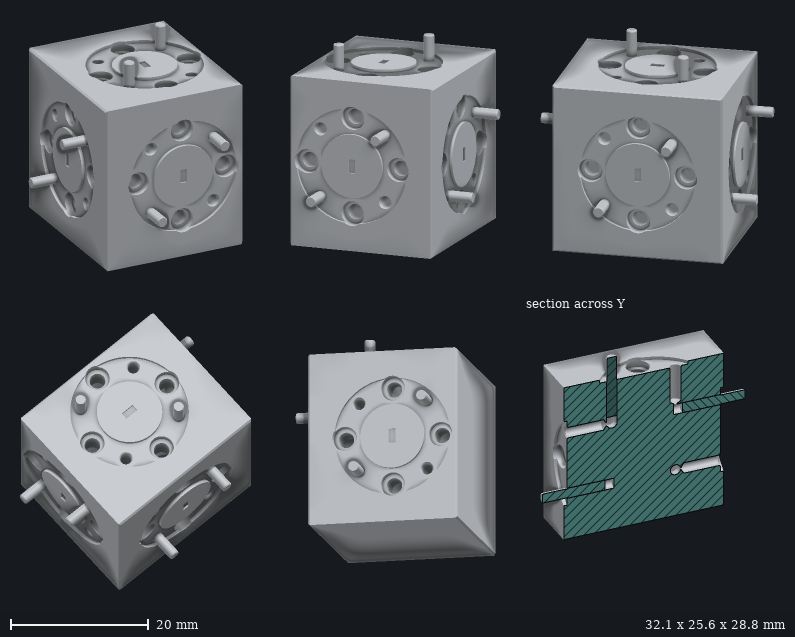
import cadquery as cq
import math

block_width = 25.38
block_height = 25.38
front_depth = 12.55
back_depth = 9.65
block_chamfer = 0.25

recess_radius = 8.6
boss_radius = 4.75
recess_depth = 0.5

mouth_width = 1.03
mouth_height = 2.05
mouth_depth = 0.25

pitch_radius = 7.13
pin_offset = pitch_radius * math.sin(math.radians(45))
drill_tip_angle = 118.0

screw_hole_diameter = 2.28
front_screw_hole_depth = 5.65
side_screw_hole_depth = 5.08
counterbore_diameter = 3.57
counterbore_depth = 1.55

socket_diameter = 1.67
socket_depth = 6.33
socket_chamfer = 0.15

pin_diameter = 1.57
pin_projection = 3.37
pin_embedment = 6.6
pin_tip_length = 0.15
pin_tip_inset = 0.1
pin_hole_depth = 7.97
pin_hole_chamfer = 0.13

screw_points = [(pitch_radius, 0), (0, pitch_radius), (-pitch_radius, 0), (0, -pitch_radius)]
pin_points = [(pin_offset, pin_offset), (-pin_offset, -pin_offset)]
socket_points = [(-pin_offset, pin_offset), (pin_offset, -pin_offset)]

front_plane = cq.Plane(origin=(0, -front_depth, 0), xDir=(1, 0, 0), normal=(0, -1, 0))
left_plane = cq.Plane(origin=(-block_width / 2, 0, 0), xDir=(0, -1, 0), normal=(-1, 0, 0))
right_plane = cq.Plane(origin=(block_width / 2, 0, 0), xDir=(0, 1, 0), normal=(1, 0, 0))
top_plane = cq.Plane(origin=(0, 0, block_height / 2), xDir=(0, 1, 0), normal=(0, 0, 1))

flanges = [
    (front_plane, front_screw_hole_depth),
    (left_plane, side_screw_hole_depth),
    (right_plane, side_screw_hole_depth),
    (top_plane, side_screw_hole_depth),
]


def make_block():
    """Plain block with its front and back edges chamfered."""
    middle_y = (back_depth - front_depth) / 2
    block = cq.Workplane("XY").box(block_width, front_depth + back_depth, block_height)
    return block.translate((0, middle_y, 0)).faces("<Y or >Y").chamfer(block_chamfer)


def turned(outline):
    """Solid of revolution from (radius, height) points about the local z axis."""
    return cq.Workplane("XZ").polyline(outline).close().revolve(360, (0, 0, 0), (0, 1, 0))


def drill_tip(radius):
    """Height of the cone left by a drill of this radius."""
    return radius / math.tan(math.radians(drill_tip_angle / 2))


def at_points(shape, points):
    """Copies of one shape, set at the given points of a flange."""
    return [shape.translate((x, y, 0)) for x, y in points]


def screw_hole_tool(depth):
    """Counterbored blind hole with a conical end."""
    radius = screw_hole_diameter / 2
    bore_radius = counterbore_diameter / 2
    return turned([
        (0, 0),
        (bore_radius, 0),
        (bore_radius, -counterbore_depth),
        (radius, -counterbore_depth),
        (radius, -depth),
        (0, -depth - drill_tip(radius)),
    ])


def socket_tool():
    """Blind hole with a conical end and a chamfered mouth at the recess floor."""
    radius = socket_diameter / 2
    return turned([
        (0, -recess_depth),
        (radius + socket_chamfer, -recess_depth),
        (radius, -recess_depth - socket_chamfer),
        (radius, -socket_depth),
        (0, -socket_depth - drill_tip(radius)),
    ])


def pin_hole_tool():
    """Flat-ended hole, deeper than its pin, with a chamfered mouth at the recess floor."""
    radius = pin_diameter / 2
    return turned([
        (0, -recess_depth),
        (radius + pin_hole_chamfer, -recess_depth),
        (radius, -recess_depth - pin_hole_chamfer),
        (radius, -pin_hole_depth),
        (0, -pin_hole_depth),
    ])


def make_flange_tools(screw_hole_depth):
    """All cutters for one flange whose face lies at local z = 0."""
    recess = cq.Workplane("XY").circle(recess_radius).circle(boss_radius).extrude(-recess_depth)
    mouth = cq.Workplane("XY").rect(mouth_width, mouth_height).extrude(-mouth_depth)
    tools = [recess, mouth]
    tools += at_points(screw_hole_tool(screw_hole_depth), screw_points)
    tools += at_points(socket_tool(), socket_points)
    tools += at_points(pin_hole_tool(), pin_points)
    return tools


def make_pin():
    """Round pin with a chamfered outer end."""
    radius = pin_diameter / 2
    return turned([
        (0, -pin_embedment),
        (radius, -pin_embedment),
        (radius, pin_projection - pin_tip_length),
        (radius - pin_tip_inset, pin_projection),
        (0, pin_projection),
    ])


def on_flange(shape, plane):
    """Move a shape from the local frame of a flange onto the block."""
    return shape.val().moved(cq.Location(plane))


block = make_block()
for plane, screw_hole_depth in flanges:
    for tool in make_flange_tools(screw_hole_depth):
        block = block.cut(cq.Workplane(on_flange(tool, plane)))

pins = []
for plane, _ in flanges:
    for pin in at_points(make_pin(), pin_points):
        pins.append(on_flange(pin, plane))

result = cq.Compound.makeCompound([block.val(), *pins])